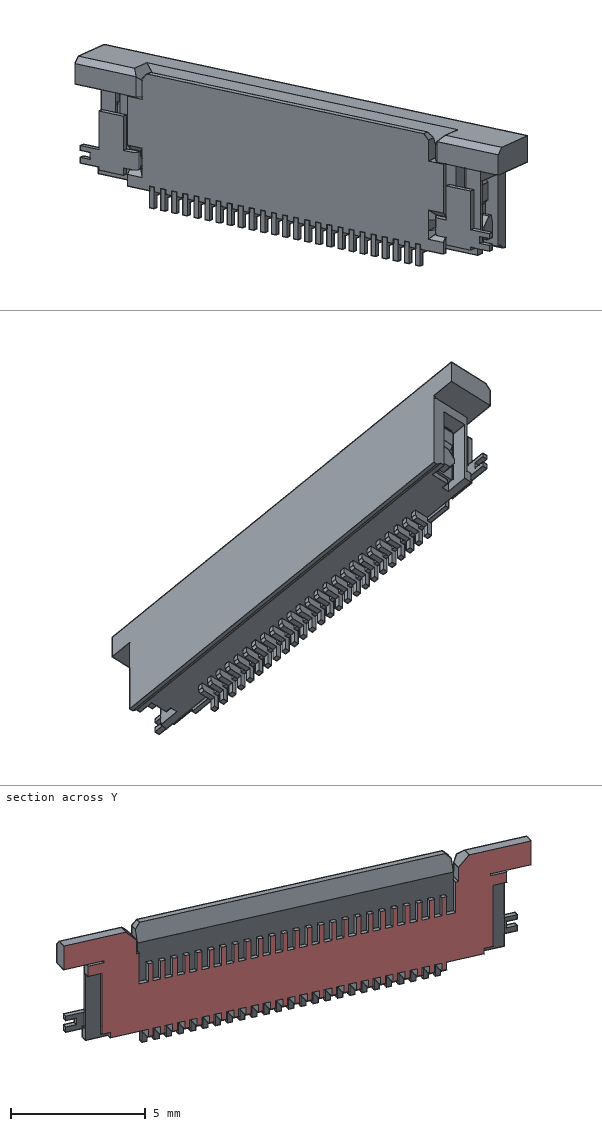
import cadquery as cq

WIDTH = 19.1
DEPTH = 2.05
HEIGHT = 5.2

CAP_BOTTOM = 4.16
CAP_FRONT = 0.11
CAP_CHAMFER_Y = 0.23
CAP_CHAMFER_Z = 0.23

ENTRY_HALF = 6.57
ENTRY_BACK = 0.94
ENTRY_CORNER_X = 0.21
ENTRY_CORNER_Y = 0.21
SIDE_FLARE = 0.44
BACK_FLARE_Y = 0.21
BACK_FLARE_Z = 0.7

BODY_HALF = 8.55
BODY_BOTTOM = 0.82
BODY_FRONT = 0.21
FOOT_BOTTOM = 0.65
FOOT_DEPTH = 0.35
FOOT_TIP = 0.15

PLATE_FRONT = 0.04
PLATE_HALF = 7.12
WALL_HALF = 6.45
WALL_TOP_Y = 0.29
WALL_CORNER = 0.21
SLOT_FRONT = 0.57
SLOT_LEAD_IN = 0.69
SLOT_BACK = 0.9
SLOT_FLOOR = 2.86

RECESS_BOTTOM = 1.1
RECESS_TOP = 2.25
RECESS_SLOPE = 0.21
RECESS_FLOOR_Y = 0.25
RECESS_SLOT_BOTTOM = 1.45
RECESS_SLOT_TOP = 1.85
RECESS_SLOT_DEPTH = 0.29

END_FRONT = 0.4
END_STEP_Z = 1.28
END_TOP = 4.1
END_GAP_WEB = 0.1
GROOVE_OUTER = 7.9
GROOVE_INNER = 7.64
GROOVE_BACK = 0.67
STEP_SLANT = 0.05
WINDOW_FRONT = 0.52
WINDOW_BACK = 1.53
WINDOW_TOP = 3.65
ARM_FACE = 8.0
ARM_BOTTOM = 1.05
ARM_RELIEF_FRONT = 0.8

BUMP_FRONT = 0.8
BUMP_BACK = 1.38
BUMP_RISE = 0.21
BUMP_BOTTOM = 2.4
BUMP_TOP = 3.55
BUMP_BOTTOM_SLOPE = 0.21
BUMP_TOP_SLOPE = 0.25
HOOK_RISE = 0.38
HOOK_FRONT = 0.85
HOOK_BACK = 1.43
HOOK_BOTTOM = 1.17
HOOK_TOP = 2.06
HOOK_NOSE_BOTTOM = 1.53
HOOK_NOSE_TOP = 1.72
HOOK_BOTTOM_SLOPE = 0.21
HOOK_TOP_SLOPE = 0.35
HOOK_BACK_SLOPE = 0.08

TAB_OUTER = 8.38
TAB_INNER = 7.28
TAB_BOTTOM = 1.05
TAB_TOP = 3.36
TAB_LEG_END = 9.23
TAB_LEG_BOTTOM = 1.17
TAB_LEG_TOP = 1.85
FORK_ROOT = 8.79
FORK_BOTTOM = 1.4
FORK_TOP = 1.66
TAB_ARM_BOTTOM = 1.34
TAB_ARM_TOP = 2.02
TAB_BEND_START = 6.95
TAB_BEND_RADIUS = 0.29
TAB_ARM_BACK = RECESS_FLOOR_Y + RECESS_SLOT_DEPTH

PIN_COUNT = 25
PIN_SPAN = 12.0
PIN_PITCH = PIN_SPAN / (PIN_COUNT - 1)
PIN_WIDTH = 0.21
TAIL_THICKNESS = 0.2
TAIL_TOP = 0.84
PIN_BACK = 0.8
PIN_BOTTOM = 0.48
PIN_CORNER = 0.1
CONTACT_BACK = 0.76
CONTACT_TOP = 3.63
CONTACT_BEVEL = SLOT_BACK - CONTACT_BACK


def block(x0, x1, y0, y1, z0, z1):
    """Box between two opposite corners."""
    return cq.Workplane("XY").box(x1 - x0, y1 - y0, z1 - z0, centered=False).translate((x0, y0, z0))


def side_prism(points, x0, x1):
    """Prism along X from a (y, z) outline."""
    return cq.Workplane("YZ").polyline(points).close().extrude(x1 - x0).translate((x0, 0, 0))


def front_prism(points, y0, y1):
    """Prism along Y from an (x, z) outline."""
    return cq.Workplane("XZ").polyline(points).close().extrude(y0 - y1).translate((0, y0, 0))


def both_ends(left_feature):
    """A feature of the -X end together with its mirror image at the +X end."""
    return left_feature.union(left_feature.mirror("YZ"))


def make_cap():
    cap = side_prism(
        [
            (CAP_FRONT, CAP_BOTTOM),
            (DEPTH, CAP_BOTTOM),
            (DEPTH, HEIGHT),
            (CAP_FRONT + CAP_CHAMFER_Y, HEIGHT),
            (CAP_FRONT, HEIGHT - CAP_CHAMFER_Z),
        ],
        -WIDTH / 2,
        WIDTH / 2,
    )
    mouth_half = ENTRY_HALF + ENTRY_CORNER_X
    corner_y = CAP_FRONT + ENTRY_CORNER_Y
    mouth = (
        cq.Workplane("XY", origin=(0, 0, CAP_BOTTOM))
        .polyline(
            [
                (-mouth_half, CAP_FRONT),
                (mouth_half, CAP_FRONT),
                (ENTRY_HALF, corner_y),
                (-ENTRY_HALF, corner_y),
            ]
        )
        .close()
        .extrude(HEIGHT - CAP_BOTTOM)
    )
    flared_half = ENTRY_HALF + SIDE_FLARE
    across = front_prism(
        [
            (-ENTRY_HALF, CAP_BOTTOM),
            (ENTRY_HALF, CAP_BOTTOM),
            (ENTRY_HALF, HEIGHT - SIDE_FLARE),
            (flared_half, HEIGHT),
            (-flared_half, HEIGHT),
            (-ENTRY_HALF, HEIGHT - SIDE_FLARE),
        ],
        0,
        DEPTH,
    )
    through = side_prism(
        [
            (0, CAP_BOTTOM),
            (ENTRY_BACK, CAP_BOTTOM),
            (ENTRY_BACK, HEIGHT - BACK_FLARE_Z),
            (ENTRY_BACK + BACK_FLARE_Y, HEIGHT),
            (0, HEIGHT),
        ],
        -flared_half,
        flared_half,
    )
    return cap.cut(mouth).cut(across.intersect(through))


def make_housing():
    core = side_prism(
        [
            (BODY_FRONT, BODY_BOTTOM),
            (DEPTH - FOOT_DEPTH, BODY_BOTTOM),
            (DEPTH - FOOT_TIP, FOOT_BOTTOM),
            (DEPTH, FOOT_BOTTOM),
            (DEPTH, CAP_BOTTOM),
            (BODY_FRONT, CAP_BOTTOM),
        ],
        -BODY_HALF,
        BODY_HALF,
    )
    plate = block(-PLATE_HALF, PLATE_HALF, PLATE_FRONT, BODY_FRONT, FOOT_BOTTOM, CAP_BOTTOM)
    wall_top_half = WALL_HALF - WALL_CORNER
    entry_wall = front_prism(
        [
            (-WALL_HALF, CAP_BOTTOM),
            (WALL_HALF, CAP_BOTTOM),
            (WALL_HALF, HEIGHT - WALL_CORNER),
            (wall_top_half, HEIGHT),
            (-wall_top_half, HEIGHT),
            (-WALL_HALF, HEIGHT - WALL_CORNER),
        ],
        PLATE_FRONT,
        SLOT_FRONT,
    )
    return core.union(plate).union(entry_wall)


def make_cable_slot():
    return side_prism(
        [
            (SLOT_FRONT, SLOT_FLOOR),
            (SLOT_BACK, SLOT_FLOOR),
            (SLOT_BACK, HEIGHT),
            (WALL_TOP_Y, HEIGHT),
            (SLOT_FRONT, HEIGHT - SLOT_LEAD_IN),
        ],
        -WALL_HALF,
        WALL_HALF,
    )


def make_plate_recess():
    """Pocket whose top, bottom and inner side slope in towards its floor."""
    depth = RECESS_FLOOR_Y - PLATE_FRONT
    width = PLATE_HALF - WALL_HALF
    height = RECESS_TOP - RECESS_BOTTOM
    centre_x = -(PLATE_HALF + WALL_HALF) / 2
    centre_z = (RECESS_BOTTOM + RECESS_TOP) / 2
    pocket = (
        cq.Workplane("XZ", origin=(centre_x, PLATE_FRONT, centre_z))
        .rect(width, height)
        .workplane(offset=-depth)
        .center(-RECESS_SLOPE / 2, 0)
        .rect(width - RECESS_SLOPE, height - 2 * RECESS_SLOPE)
        .loft(ruled=True)
    )
    slot_back = RECESS_FLOOR_Y + RECESS_SLOT_DEPTH
    slot = block(
        -PLATE_HALF, -WALL_HALF, PLATE_FRONT, slot_back, RECESS_SLOT_BOTTOM, RECESS_SLOT_TOP
    )
    return pocket.union(slot)


def make_end_cuts():
    """Step, top gap, groove and window that shape the outer wall of one housing end."""
    step = (
        cq.Workplane("XY", origin=(0, 0, END_STEP_Z))
        .polyline(
            [
                (-BODY_HALF, BODY_FRONT),
                (STEP_SLANT - GROOVE_INNER, BODY_FRONT),
                (-GROOVE_INNER, END_FRONT),
                (-BODY_HALF, END_FRONT),
            ]
        )
        .close()
        .extrude(CAP_BOTTOM - END_STEP_Z)
    )
    groove = block(-GROOVE_OUTER, -GROOVE_INNER, END_FRONT, GROOVE_BACK, END_STEP_Z, CAP_BOTTOM)
    top_gap = block(-BODY_HALF, -GROOVE_OUTER, BODY_FRONT, DEPTH - END_GAP_WEB, END_TOP, CAP_BOTTOM)
    window = block(-BODY_HALF, -ARM_FACE, WINDOW_FRONT, WINDOW_BACK, BODY_BOTTOM, WINDOW_TOP)
    gap_beside_arm = block(
        -ARM_FACE, -GROOVE_INNER, WINDOW_FRONT, GROOVE_BACK, BODY_BOTTOM, WINDOW_TOP
    )
    arm_relief = block(
        -ARM_FACE, -GROOVE_OUTER, ARM_RELIEF_FRONT, WINDOW_BACK, BODY_BOTTOM, ARM_BOTTOM
    )
    corner_relief = block(
        -ARM_FACE, -GROOVE_INNER, GROOVE_BACK, ARM_RELIEF_FRONT, BODY_BOTTOM, ARM_BOTTOM
    )
    cuts = step.union(groove).union(top_gap).union(window)
    return cuts.union(gap_beside_arm).union(arm_relief).union(corner_relief)


def make_latches():
    """Sloped bump and hook with a blunt nose standing out from the slider arm."""
    bump = front_prism(
        [
            (-ARM_FACE, BUMP_BOTTOM),
            (-ARM_FACE, BUMP_TOP),
            (-ARM_FACE - BUMP_RISE, BUMP_TOP - BUMP_TOP_SLOPE),
            (-ARM_FACE - BUMP_RISE, BUMP_BOTTOM + BUMP_BOTTOM_SLOPE),
        ],
        BUMP_FRONT,
        BUMP_BACK,
    )
    hook = side_prism(
        [
            (HOOK_BACK, HOOK_BOTTOM),
            (HOOK_FRONT + HOOK_BOTTOM_SLOPE, HOOK_BOTTOM),
            (HOOK_FRONT, HOOK_NOSE_BOTTOM),
            (HOOK_FRONT, HOOK_NOSE_TOP),
            (HOOK_FRONT + HOOK_TOP_SLOPE, HOOK_TOP),
            (HOOK_BACK - HOOK_BACK_SLOPE, HOOK_TOP),
            (HOOK_BACK, HOOK_NOSE_TOP),
        ],
        -ARM_FACE - HOOK_RISE,
        -ARM_FACE,
    )
    return bump.union(hook)


def make_mounting_tab():
    pad = block(-TAB_OUTER, -TAB_INNER, 0, BODY_FRONT, TAB_BOTTOM, TAB_TOP)
    leg = block(-TAB_LEG_END, -TAB_OUTER, 0, BODY_FRONT, TAB_LEG_BOTTOM, TAB_LEG_TOP)
    fork = block(-TAB_LEG_END, -FORK_ROOT, 0, BODY_FRONT, FORK_BOTTOM, FORK_TOP)
    bend_end = TAB_BEND_RADIUS - TAB_BEND_START
    arm = (
        cq.Workplane("XY", origin=(0, 0, TAB_ARM_BOTTOM))
        .moveTo(-TAB_INNER, 0)
        .lineTo(-TAB_BEND_START, 0)
        .radiusArc((bend_end, TAB_BEND_RADIUS), -TAB_BEND_RADIUS)
        .lineTo(bend_end, TAB_ARM_BACK)
        .lineTo(-TAB_INNER, TAB_ARM_BACK)
        .close()
        .extrude(TAB_ARM_TOP - TAB_ARM_BOTTOM)
    )
    return pad.union(leg.cut(fork)).union(arm)


def make_pins():
    pin = side_prism(
        [
            (0, 0),
            (TAIL_THICKNESS, 0),
            (TAIL_THICKNESS, PIN_BOTTOM),
            (PIN_BACK - PIN_CORNER, PIN_BOTTOM),
            (PIN_BACK, PIN_BOTTOM + PIN_CORNER),
            (PIN_BACK, TAIL_TOP),
            (0, TAIL_TOP),
        ],
        -PIN_WIDTH / 2,
        PIN_WIDTH / 2,
    )
    contact = side_prism(
        [
            (SLOT_FRONT, SLOT_FLOOR),
            (SLOT_BACK, SLOT_FLOOR),
            (SLOT_BACK, CONTACT_TOP - CONTACT_BEVEL),
            (CONTACT_BACK, CONTACT_TOP),
            (SLOT_FRONT, CONTACT_TOP),
        ],
        -PIN_WIDTH / 2,
        PIN_WIDTH / 2,
    )
    pins = cq.Workplane("XY")
    first_x = -PIN_SPAN / 2
    for index in range(PIN_COUNT):
        place = (first_x + index * PIN_PITCH, 0, 0)
        pins.add(pin.translate(place)).add(contact.translate(place))
    return pins


housing = make_housing().cut(both_ends(make_plate_recess())).cut(both_ends(make_end_cuts()))
result = housing.union(make_cap()).cut(make_cable_slot())
result = result.union(both_ends(make_latches())).union(both_ends(make_mounting_tab()))
for member in make_pins().vals():
    result = result.union(cq.Workplane(member))